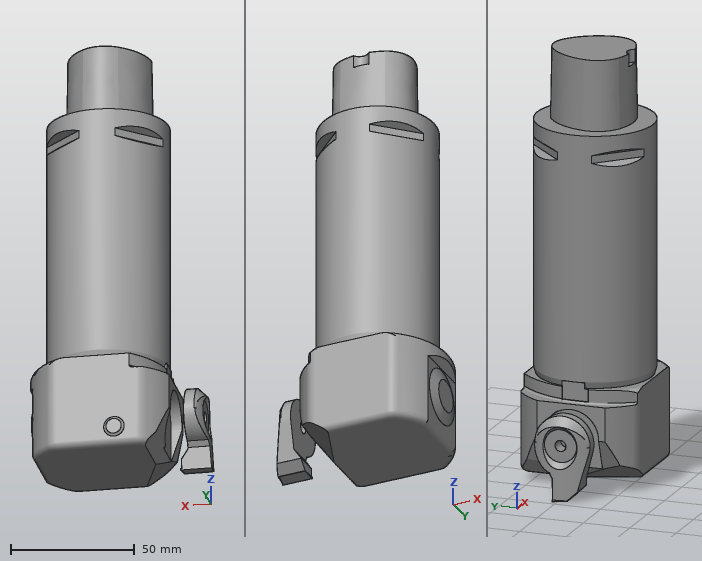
import cadquery as cq
import math

TOP_Z = 180.0
TAPER_LENGTH = 29.9
COLLAR_Z = TOP_Z - TAPER_LENGTH
SHANK_END_Z = 45.7
HEAD_TOP_Z = 43.2
HEAD_BOTTOM_Z = 4.0
FAR = 108.0

LOBE_REACH = 18.5
SIDE_REACH = 16.5
LOBE_CENTRE = 6.1
TAPER_INSET = 0.5
TAPER_ANGLE = math.degrees(math.atan(TAPER_INSET / TAPER_LENGTH))
NOTCH_DIAMETER = 8.0
NOTCH_DEPTH = 5.4
NOTCH_Y = -17.8

SHANK_RADIUS = 50.0 / 2
NECK_RADIUS = 24.3
GRIP_SLOT_Z = 140.2
GRIP_SLOT_FLOOR = 22.1
GRIP_SLOT_FLOOR_HEIGHT = 3.2
GRIP_SLOT_MOUTH_HEIGHT = 6.7

HEAD_RADIUS = 31.5
HEAD_HALF_WIDTH = 25.5
FRONT_X = -27.9
BACK_X = 28.6
HEAD_CORNER_RADIUS = 6.0
HEAD_TOP_RADIUS = 2.9
BOTTOM_FILLET = 2.7
BACK_LIP_Z = 38.5
BACK_FLAT_TOP_Z = 35.5
RELIEF_START_Z = 22.7
RELIEF_BREAK = (-23.8, 10.3)
RELIEF_END_X = -19.6
CORNER_CUT_POINT = (-24.7, -19.5, 12.2)
CORNER_CUT_NORMAL = (-14.4, -5.1, -21.0)

LEDGE_Z = 37.0
LEDGE_FILLET = 0.9
LEDGE_WALL_X = -25.5
LEDGE_WALL_LEFT = (-13.3, 26.0)
LEDGE_WALL_RIGHT = (-17.8, -26.0)
CROWN_Y = (6.1, -6.5)
PAD_X = -25.0
PAD_Y = (4.9, -4.7)

INSERT_Z = 22.9
INSERT_RADIUS = 24.0 / 2
INSERT_BACK_X = -33.3
INSERT_RIM_X = -37.6
INSERT_RIDGE_X = -41.2
INSERT_RIDGE_Z = 31.1
INSERT_RIDGE_TILT = 3.5
INSERT_FRONT_RADIUS = 20.9
ARM_TIP_Y = 2.3
ARM_CORNER = (-7.7, 4.5)
ARM_BOTTOM_Y = -3.8
ARM_BOTTOM_Z = 0.7
ARM_WAIST = (2.7, 9.4)
ARM_ROOT = (4.3, 11.9)
ARM_SHOULDER_ANGLE = 197
FOOT_BACK_X = -30.6
FOOT_START_Z = 8.8
FOOT_END_Z = 4.7
EDGE_FRONT_X = -43.4
EDGE_BACK_X = -30.2
EDGE_SIDE_X = -42.1
EDGE_RISE = 0.5
RECESS_RADIUS = 13.9 / 2
RECESS_FLOOR_X = -40.0
INSERT_HOLE_DIAMETER = 4.7
SEAT_X = -23.4

CAP_TOP_RADIUS = 13.9 / 2
CAP_HEIGHT = 1.8
CAP_SEAT_DEPTH = 3.6

PLUG_DIAMETER = 8.5
PLUG_X = -7.4
PLUG_Z = 11.9
PLUG_PROTRUSION = 0.7
PLUG_CHAMFER = 1.0
PLUG_SEAT_DEPTH = 5.4


def polar(radius, degrees):
    """Point at a distance and an angle from the origin."""
    angle = math.radians(degrees)
    return cq.Vector(radius * math.cos(angle), radius * math.sin(angle))


def x_cylinder(radius, x_start, x_end, z):
    """Cylinder along X."""
    return cq.Workplane("YZ", origin=(x_start, 0, 0)).center(0, z).circle(radius).extrude(x_end - x_start)


def x_cone(radius_start, x_start, radius_end, x_end, z):
    """Truncated cone along X."""
    solid = cq.Solid.makeCone(
        radius_start, radius_end, x_end - x_start, cq.Vector(x_start, 0, z), cq.Vector(1, 0, 0)
    )
    return cq.Workplane(solid)


def y_prism(points):
    """XZ outline extended far to both sides in Y."""
    return cq.Workplane("XZ").polyline(points).close().extrude(FAR, both=True)


def y_span_block(x_start, x_end, y_span, z_start, z_end):
    """Rectangular block between two X, a (left, right) pair of Y, and two Z values."""
    left, right = y_span
    block = cq.Workplane("XY").box(x_end - x_start, left - right, z_end - z_start, centered=False)
    return block.translate((x_start, right, z_start))


def make_taper():
    """Three rounded lobes joined by flatter arcs, tangent to each other, narrowing upwards."""
    step = LOBE_REACH - SIDE_REACH
    side_centre = (2 * step * LOBE_CENTRE - step**2) / (LOBE_CENTRE - 2 * step)
    side_radius = SIDE_REACH + side_centre

    def join(lobe_angle, side_angle):
        """Point where the arc of a lobe meets the arc of a side."""
        side_middle = polar(side_centre, side_angle + 180)
        return side_middle + (polar(LOBE_CENTRE, lobe_angle) - side_middle).normalized() * side_radius

    outline = cq.Workplane("XY", origin=(0, 0, COLLAR_Z)).moveTo(*join(90, 30).toTuple()[:2])
    for lobe in (90, 210, 330):
        lobe_end = join(lobe, lobe + 60)
        outline = outline.threePointArc(polar(LOBE_REACH, lobe), lobe_end)
        outline = outline.threePointArc(polar(SIDE_REACH, lobe + 60), join(lobe + 120, lobe + 60))
    taper = outline.close().extrude(TAPER_LENGTH, taper=TAPER_ANGLE)
    notch = (
        cq.Workplane("XY", origin=(0, NOTCH_Y, TOP_Z - NOTCH_DEPTH))
        .circle(NOTCH_DIAMETER / 2)
        .extrude(2 * NOTCH_DEPTH)
    )
    return taper.cut(notch)


def make_shank():
    """Round shank with a short neck cone at its foot and four grip slots near its top."""
    shank = (
        cq.Workplane("XZ")
        .polyline(
            [
                (0, HEAD_TOP_Z),
                (NECK_RADIUS, HEAD_TOP_Z),
                (SHANK_RADIUS, SHANK_END_Z),
                (SHANK_RADIUS, COLLAR_Z),
                (0, COLLAR_Z),
            ]
        )
        .close()
        .revolve(360, (0, 0), (0, 1))
    )
    floor = GRIP_SLOT_FLOOR_HEIGHT / 2
    mouth = GRIP_SLOT_MOUTH_HEIGHT / 2
    slot = y_prism(
        [
            (GRIP_SLOT_FLOOR, GRIP_SLOT_Z - floor),
            (SHANK_RADIUS, GRIP_SLOT_Z - mouth),
            (SHANK_RADIUS, GRIP_SLOT_Z + mouth),
            (GRIP_SLOT_FLOOR, GRIP_SLOT_Z + floor),
        ]
    )
    for angle in (45, 135, 225, 315):
        shank = shank.cut(slot.rotate((0, 0, 0), (0, 0, 1), angle))
    return shank


def make_head_blank():
    """Round block with two side flats, a back flat under a lip, and rounded edges."""
    height = HEAD_TOP_Z - HEAD_BOTTOM_Z
    base = cq.Workplane("XY", origin=(0, 0, HEAD_BOTTOM_Z))
    blank = base.circle(HEAD_RADIUS).extrude(height)
    blank = blank.intersect(base.rect(FAR, 2 * HEAD_HALF_WIDTH).extrude(height))
    blank = blank.edges("|Z").edges(">Y or <Y").fillet(HEAD_CORNER_RADIUS)
    rounded_top = base.circle(HEAD_RADIUS).extrude(height).faces(">Z").edges().fillet(HEAD_TOP_RADIUS)
    blank = blank.intersect(rounded_top)
    back_flat = y_prism(
        [
            (BACK_X, -FAR),
            (BACK_X, BACK_FLAT_TOP_Z),
            (HEAD_RADIUS, BACK_LIP_Z),
            (FAR, BACK_LIP_Z),
            (FAR, -FAR),
        ]
    )
    return blank.cut(back_flat).faces("<Z").edges().fillet(BOTTOM_FILLET)


def make_front_relief():
    """Everything removed ahead of the front flat and of the two slopes under it."""
    return y_prism(
        [
            (FRONT_X, FAR),
            (FRONT_X, RELIEF_START_Z),
            RELIEF_BREAK,
            (RELIEF_END_X, HEAD_BOTTOM_Z),
            (RELIEF_END_X, -FAR),
            (-FAR, -FAR),
            (-FAR, FAR),
        ]
    )


def make_corner_cut():
    """Half space below the slanted plane at the front corner on the -Y side."""
    plane = cq.Plane(origin=CORNER_CUT_POINT, normal=CORNER_CUT_NORMAL)
    return cq.Workplane(plane).rect(FAR, FAR).extrude(FAR)


def make_ledge_cut():
    """Space above the ledge, in front of a curved wall with a filleted foot and a flat at its crown."""
    ledge = cq.Workplane("XY", origin=(0, 0, LEDGE_Z))
    cut = (
        ledge.moveTo(-FAR, LEDGE_WALL_LEFT[1])
        .lineTo(*LEDGE_WALL_LEFT)
        .threePointArc((LEDGE_WALL_X, 0), LEDGE_WALL_RIGHT)
        .lineTo(-FAR, LEDGE_WALL_RIGHT[1])
        .close()
        .extrude(HEAD_TOP_Z - LEDGE_Z)
    )
    cut = cut.faces("<Z").edges("%CIRCLE").fillet(LEDGE_FILLET)
    crown = y_span_block(-FAR, PAD_X, CROWN_Y, LEDGE_Z + LEDGE_FILLET, HEAD_TOP_Z)
    return cut.union(crown)


def make_pad():
    """Small flat pad that continues the crown of the ledge wall up over the neck."""
    return y_span_block(PAD_X, 0, PAD_Y, LEDGE_Z, SHANK_END_Z)


def make_insert_seat():
    """Round seat behind the insert, open downwards behind the insert arm."""
    seat = x_cylinder(INSERT_RADIUS, FRONT_X, SEAT_X, z=INSERT_Z)
    arm_slot = y_span_block(FRONT_X, SEAT_X, (ARM_TIP_Y, -INSERT_RADIUS), 0, INSERT_Z)
    return seat.union(arm_slot)


def make_holder():
    """Head, shank and taper in one piece, with seats for the insert, the cap and the plug."""
    head = make_head_blank().cut(make_ledge_cut()).cut(make_front_relief())
    head = head.cut(make_corner_cut()).cut(make_insert_seat())
    cap_seat = x_cylinder(INSERT_RADIUS, BACK_X - CAP_SEAT_DEPTH, FAR, z=INSERT_Z)
    plug_seat = (
        cq.Workplane("XZ", origin=(PLUG_X, HEAD_HALF_WIDTH - PLUG_SEAT_DEPTH, PLUG_Z))
        .circle(PLUG_DIAMETER / 2)
        .extrude(-FAR)
    )
    head = head.cut(cap_seat).cut(plug_seat)
    return head.union(make_pad()).union(make_shank()).union(make_taper())


def make_cutting_edge():
    """Thin foot of the insert: a pointed tip at the front, rising slightly towards -Y."""
    plan = (
        cq.Workplane("XY")
        .polyline(
            [
                (EDGE_FRONT_X, ARM_TIP_Y),
                (EDGE_BACK_X, ARM_TIP_Y),
                (FOOT_BACK_X, ARM_BOTTOM_Y),
                (EDGE_SIDE_X, ARM_BOTTOM_Y),
            ]
        )
        .close()
        .extrude(ARM_BOTTOM_Z)
    )
    side = (
        cq.Workplane("YZ")
        .polyline(
            [
                (ARM_TIP_Y, 0),
                (ARM_BOTTOM_Y, EDGE_RISE),
                (ARM_BOTTOM_Y, ARM_BOTTOM_Z),
                (ARM_TIP_Y, ARM_BOTTOM_Z),
            ]
        )
        .close()
        .extrude(FAR, both=True)
    )
    return plan.intersect(side)


def make_insert():
    """Disc with a tapered arm below it, a rounded front, a cutting foot and a screw recess."""
    disc = x_cylinder(INSERT_RADIUS, -FAR, INSERT_BACK_X, z=INSERT_Z)
    shoulder = polar(INSERT_RADIUS, ARM_SHOULDER_ANGLE)
    arm = (
        cq.Workplane("YZ", origin=(FOOT_BACK_X, 0, 0))
        .moveTo(shoulder.x, INSERT_Z + shoulder.y)
        .lineTo(*ARM_CORNER)
        .lineTo(ARM_BOTTOM_Y, ARM_BOTTOM_Z)
        .lineTo(ARM_TIP_Y, ARM_BOTTOM_Z)
        .lineTo(*ARM_WAIST)
        .lineTo(*ARM_ROOT)
        .lineTo(ARM_ROOT[0], INSERT_Z)
        .close()
        .extrude(-FAR)
    )
    arm_side = y_prism(
        [
            (-FAR, INSERT_Z),
            (INSERT_BACK_X, INSERT_Z),
            (INSERT_BACK_X, FOOT_START_Z),
            (FOOT_BACK_X, FOOT_END_Z),
            (FOOT_BACK_X, 0),
            (-FAR, 0),
        ]
    )
    arm = arm.intersect(arm_side)
    rounded_front = (
        cq.Workplane("XY", origin=(INSERT_RIDGE_X + INSERT_FRONT_RADIUS, 0, INSERT_RIDGE_Z))
        .circle(INSERT_FRONT_RADIUS)
        .extrude(FAR, both=True)
        .rotate((INSERT_RIDGE_X, 0, INSERT_RIDGE_Z), (INSERT_RIDGE_X, 1, INSERT_RIDGE_Z), INSERT_RIDGE_TILT)
    )
    disc_bevel = x_cone(0, INSERT_RIM_X - INSERT_RADIUS, INSERT_RADIUS, INSERT_RIM_X, INSERT_Z)
    disc_bevel = disc_bevel.union(x_cylinder(INSERT_RADIUS, INSERT_RIM_X, INSERT_BACK_X, z=INSERT_Z))
    lower_half = cq.Workplane("XY", origin=(0, 0, INSERT_Z)).rect(FAR, FAR).extrude(-FAR)
    insert = disc.intersect(disc_bevel.union(lower_half)).union(arm).intersect(rounded_front)
    insert = insert.union(make_cutting_edge())
    recess_depth = RECESS_FLOOR_X - EDGE_FRONT_X
    recess = x_cone(
        RECESS_RADIUS + recess_depth, RECESS_FLOOR_X - recess_depth, RECESS_RADIUS, RECESS_FLOOR_X, INSERT_Z
    )
    hole = x_cylinder(INSERT_HOLE_DIAMETER / 2, -FAR, 0, z=INSERT_Z)
    return insert.cut(recess).cut(hole)


def make_cap():
    """Round cap set into the back flat, coaxial with the insert, with a sloping rim."""
    cap = x_cylinder(INSERT_RADIUS, BACK_X - CAP_SEAT_DEPTH, BACK_X, z=INSERT_Z)
    return cap.union(x_cone(INSERT_RADIUS, BACK_X, CAP_TOP_RADIUS, BACK_X + CAP_HEIGHT, INSERT_Z))


def make_plug():
    """Small plug set into the +Y flat, standing slightly proud."""
    plug = (
        cq.Workplane("XZ", origin=(PLUG_X, HEAD_HALF_WIDTH - PLUG_SEAT_DEPTH, PLUG_Z))
        .circle(PLUG_DIAMETER / 2)
        .extrude(-PLUG_SEAT_DEPTH - PLUG_PROTRUSION)
    )
    return plug.faces(">Y").edges().chamfer(PLUG_PROTRUSION, PLUG_CHAMFER)


holder = make_holder()
insert = make_insert()
cap = make_cap()
plug = make_plug()

result = cq.Compound.makeCompound([holder.solids().val(), insert.solids().val(), cap.val(), plug.val()])